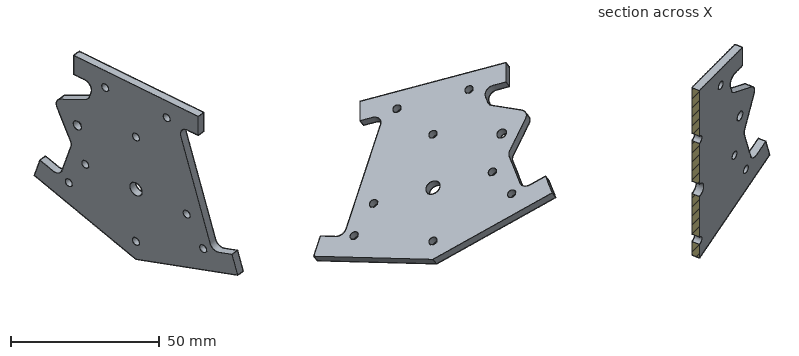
import cadquery as cq
import math

thickness = 3.0
half_span = 44.1
top_z = 43.5
bottom_z = top_z - 73.1
arm_width = 8.0
top_half_width = 27.0
arm_end_length = 9.0
corner_radius = 3.0
arm_angle = math.radians(18)

tab_corner = (-35.65, 20.9)
tab_top_slope = math.tan(math.radians(25.2))
tab_bottom_slope = -math.tan(math.radians(62.9))

hub_diameter = 5.2
screw_diameter = 3.0
tab_hole_diameter = 3.5
tab_hole_center = (-25.4, 14.7)
ring_radius = 22.0
outer_hole_x = 29.1
outer_hole_z = -11.1
top_hole_x = 13.3
top_hole_z = 36.4

arm_tip = (half_span, bottom_z + half_span * math.tan(arm_angle))
arm_shoulder = (
    arm_tip[0] - arm_width * math.sin(arm_angle),
    arm_tip[1] + arm_width * math.cos(arm_angle),
)
arm_root = (
    arm_shoulder[0] - arm_end_length * math.cos(arm_angle),
    arm_shoulder[1] - arm_end_length * math.sin(arm_angle),
)

bar_bottom_z = top_z - arm_width
side_slope = 1 / math.tan(arm_angle)
bar_root = (arm_root[0] - (bar_bottom_z - arm_root[1]) / side_slope, bar_bottom_z)


def mirrored(point):
    return (-point[0], point[1])


def tab_meets_side(tab_slope):
    """Point where a tab edge of the given slope crosses the left side edge."""
    root_x, root_z = mirrored(arm_root)
    corner_x, corner_z = tab_corner
    x = (corner_z - root_z + side_slope * root_x - tab_slope * corner_x) / (side_slope - tab_slope)
    return (x, corner_z + tab_slope * (x - corner_x))


tab_top_root = tab_meets_side(tab_top_slope)
tab_bottom_root = tab_meets_side(tab_bottom_slope)

outline = [
    (0, bottom_z),
    arm_tip,
    arm_shoulder,
    arm_root,
    bar_root,
    (top_half_width, bar_bottom_z),
    (top_half_width, top_z),
    (-top_half_width, top_z),
    (-top_half_width, bar_bottom_z),
    mirrored(bar_root),
    tab_top_root,
    tab_corner,
    tab_bottom_root,
    mirrored(arm_root),
    mirrored(arm_shoulder),
    mirrored(arm_tip),
]
rounded_corners = [
    arm_root,
    bar_root,
    mirrored(bar_root),
    tab_top_root,
    tab_corner,
    tab_bottom_root,
    mirrored(arm_root),
]


def make_plate():
    plate = cq.Workplane("XZ").polyline(outline).close().extrude(thickness / 2, both=True)
    for x, z in rounded_corners:
        edge = plate.edges(cq.NearestToPointSelector((x, 0, z)))
        plate = edge.fillet(corner_radius)
    return plate


def drill(plate, centers, diameter):
    cutter = cq.Workplane("XZ").pushPoints(centers).circle(diameter / 2)
    return plate.cut(cutter.extrude(thickness, both=True))


screw_centers = [
    (ring_radius, 0),
    (0, ring_radius),
    (-ring_radius, 0),
    (0, -ring_radius),
]
for side in (-1, 1):
    screw_centers.append((side * outer_hole_x, outer_hole_z))
    screw_centers.append((side * top_hole_x, top_hole_z))

result = make_plate()
result = drill(result, [(0, 0)], hub_diameter)
result = drill(result, [tab_hole_center], tab_hole_diameter)
result = drill(result, screw_centers, screw_diameter)